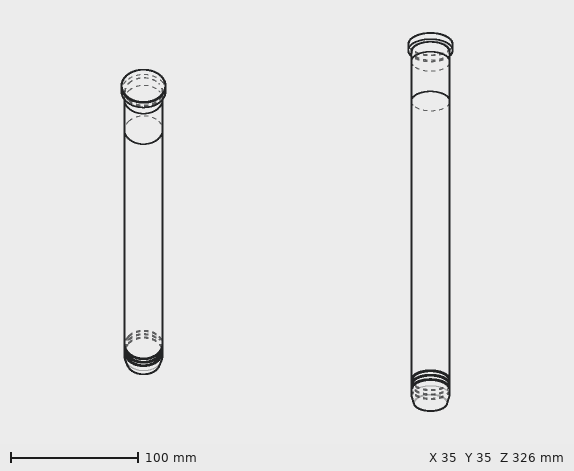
import cadquery as cq
import math

overall_length = 326.0
pin_radius = 15.0

head_radius = 17.5
head_thickness = 6.0
head_chamfer = 0.5
collar_length = 10.0

fit_length = 36.0

taper_length = 7.0
taper_angle = math.radians(15)
tip_radius = pin_radius - taper_length * math.tan(taper_angle)
tip_fillet = 0.5

groove_radius = 0.5
groove_count = 3
groove_pitch = 4.0
first_groove_z = 12.5

head_underside_z = overall_length - head_thickness
collar_bottom_z = head_underside_z - collar_length
fit_bottom_z = collar_bottom_z - fit_length


def disc(radius, bottom_z, height):
    return cq.Workplane("XY").workplane(offset=bottom_z).circle(radius).extrude(height)


def groove_cutter(center_z):
    """Ring of round section centred on the pin surface."""
    return (
        cq.Workplane("XZ")
        .center(pin_radius, center_z)
        .circle(groove_radius)
        .revolve(360, (-pin_radius, 0, 0), (-pin_radius, 1, 0))
    )


def relief_cutter():
    """Groove just below the head, touching its underside."""
    return groove_cutter(head_underside_z - groove_radius)


def make_head():
    """Chamfered head with a short collar of pin diameter."""
    flange = disc(head_radius, head_underside_z, head_thickness)
    flange = flange.faces(">Z").edges().chamfer(head_chamfer)
    collar = disc(pin_radius, collar_bottom_z, collar_length).cut(relief_cutter())
    return collar.union(flange)


def make_fit_section():
    return disc(pin_radius, fit_bottom_z, fit_length)


def make_shank():
    """Long shank with a tapered, rounded tip and grooves above it."""
    shank = (
        cq.Workplane("XZ")
        .moveTo(0, 0)
        .lineTo(tip_radius, 0)
        .lineTo(pin_radius, taper_length)
        .lineTo(pin_radius, fit_bottom_z)
        .lineTo(0, fit_bottom_z)
        .close()
        .revolve(360, (0, 0, 0), (0, 1, 0))
    )
    shank = shank.faces("<Z").edges().fillet(tip_fillet)
    for index in range(groove_count):
        shank = shank.cut(groove_cutter(first_groove_z + index * groove_pitch))
    return shank


head = make_head()
fit_section = make_fit_section()
shank = make_shank()

result = cq.Compound.makeCompound([head.val(), fit_section.val(), shank.val()])